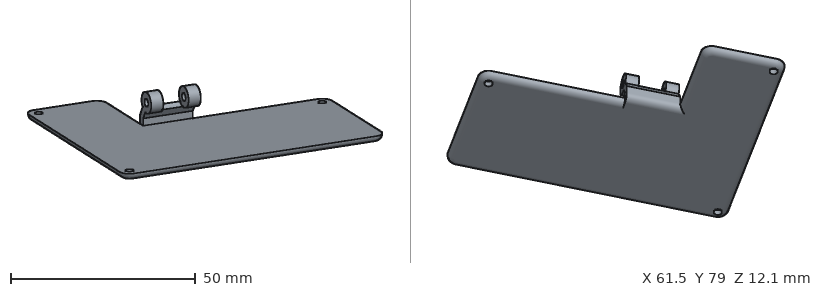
import cadquery as cq
import math

plate_width = 61.5
plate_length = 79.0
plate_thickness = 2.0
step_x = 25.4
step_y = 23.5
corner_radius = 3.0
bottom_edge_radius = 1.9
hole_diameter = 2.2
hole_inset = corner_radius

total_height = 12.1
hinge_length = 15.0
leaf_thickness = 2.0
leaf_bend_z = 4.6
leaf_slope_length = 3.55
leaf_tilt = math.radians(30)
lug_radius = 3.0
lug_width = 3.7
lug_center_x = 27.3
lug_center_z = total_height - lug_radius

leaf_outer_x = step_x - leaf_thickness
leaf_inner_bend_z = leaf_bend_z - leaf_thickness * math.tan(leaf_tilt / 2)
leaf_tip_x = leaf_outer_x + leaf_slope_length * math.sin(leaf_tilt)
leaf_tip_z = leaf_bend_z + leaf_slope_length * math.cos(leaf_tilt)
leaf_tip_inner_x = leaf_tip_x + leaf_thickness * math.cos(leaf_tilt)
leaf_tip_inner_z = leaf_tip_z - leaf_thickness * math.sin(leaf_tilt)


def make_plate():
    """L-shaped plate with rounded outer corners and a rounded underside edge."""
    outline = [
        (0, 0),
        (plate_width, 0),
        (plate_width, plate_length),
        (step_x, plate_length),
        (step_x, step_y),
        (0, step_y),
    ]
    inner_corner = cq.selectors.NearestToPointSelector((step_x, step_y, plate_thickness / 2))
    plate = cq.Workplane("XY").polyline(outline).close().extrude(plate_thickness)
    vertical_edges = cq.StringSyntaxSelector("|Z")
    outer_corners = vertical_edges - inner_corner
    plate = plate.edges(outer_corners).fillet(corner_radius)
    return plate.faces("<Z").edges().fillet(bottom_edge_radius)


def extrude_along_y(sketch, length):
    """Extrude an XZ sketch toward +Y."""
    return sketch.extrude(-length)


def xz_plane(y):
    """Workplane parallel to XZ at the given Y."""
    return cq.Workplane("XZ", origin=(0, y, 0))


def make_foot():
    """Quarter-round foot under the leaf, run into the low arm to meet its rounded edge."""
    sketch = (
        xz_plane(step_y - bottom_edge_radius)
        .moveTo(step_x, 0)
        .radiusArc((leaf_outer_x, plate_thickness), leaf_thickness)
        .lineTo(step_x + bottom_edge_radius, plate_thickness)
        .lineTo(step_x + bottom_edge_radius, 0)
        .close()
    )
    return extrude_along_y(sketch, hinge_length + bottom_edge_radius)


def make_leaf():
    """Bent leaf rising from the top of the foot."""
    outline = [
        (leaf_outer_x, plate_thickness),
        (leaf_outer_x, leaf_bend_z),
        (leaf_tip_x, leaf_tip_z),
        (leaf_tip_inner_x, leaf_tip_inner_z),
        (step_x, leaf_inner_bend_z),
        (step_x, plate_thickness),
    ]
    return extrude_along_y(xz_plane(step_y).polyline(outline).close(), hinge_length)


def make_pin_cylinder(y, radius, length):
    """Cylinder on the hinge pin axis."""
    return extrude_along_y(xz_plane(y).center(lug_center_x, lug_center_z).circle(radius), length)


knuckle_clearance = make_pin_cylinder(step_y, lug_radius, hinge_length)
leaf = make_leaf().cut(knuckle_clearance)

result = make_plate().union(make_foot()).union(leaf)
for lug_y in (step_y, step_y + hinge_length - lug_width):
    result = result.union(make_pin_cylinder(lug_y, lug_radius, lug_width))

result = result.cut(make_pin_cylinder(step_y, hole_diameter / 2, hinge_length))

hole_centers = [
    (hole_inset, hole_inset),
    (plate_width - hole_inset, hole_inset),
    (step_x + hole_inset, plate_length - hole_inset),
]
mounting_holes = (
    cq.Workplane("XY").pushPoints(hole_centers).circle(hole_diameter / 2).extrude(plate_thickness)
)
result = result.cut(mounting_holes)